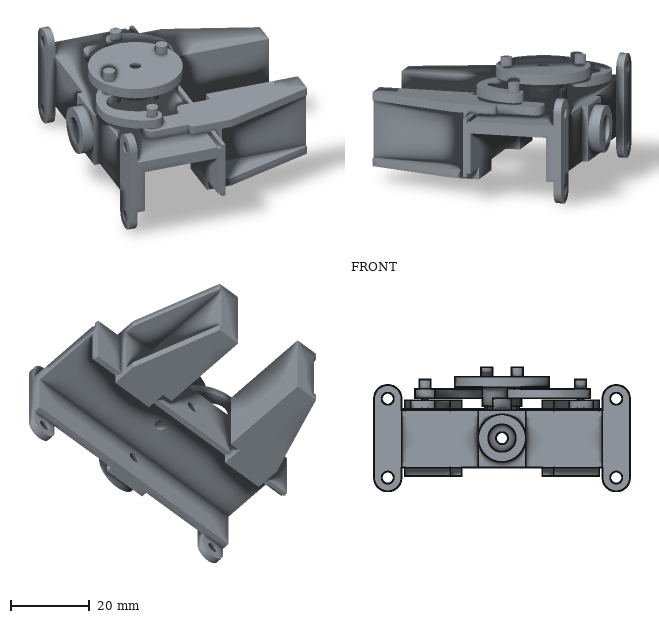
import cadquery as cq
import math


mid_z = -7.0
lip_z = 0.45
plate_thickness = 2.15
jaw_top = lip_z + plate_thickness
jaw_bottom = 2 * mid_z - jaw_top
joint_gap = 0.45
link_thickness = 2.4
link_bottom = jaw_top + joint_gap
link_top = link_bottom + link_thickness
disc_thickness = 2.65
disc_bottom = link_top + joint_gap
disc_top = disc_bottom + disc_thickness

pin_radius = 1.5
pin_height = 2.4
peg_radius = 0.8
hole_radius = 1.5

frame_length = 65
frame_half_depth = 11.95
wall_thickness = 2.0
top_thickness = 3.1
frame_bottom = 2 * mid_z - lip_z
groove_width = 1.0
groove_depth = 0.9
rail_inner_y = frame_half_depth - wall_thickness
ear_radius = 3.5
ear_hole_spacing = 20.0
ear_x = frame_length / 2 - ear_radius
ear_thickness = 2.0
pad_width = 12.1
pad_thickness = 1.55
ring_radius = 6.05
ring_length = 3.0
bore_radius = 3.5
stop_inner_radius = 5.15
stop_outer_radius = 6.05
front_stop_half_angle = 22.5
rear_stop_half_angle = 46.5

disc_radius = 12.0
boss_radius = 5.0
boss_bottom = 1.1
crank_radius = 9.5
crank_angle = 114.1
opposite_crank_angle = crank_angle + 180

link_span = 16.95
link_end_radius = 2.55
link_crest = 8.6
link_side_radius = 14.3
link_crest_radius = 5.2
link_crest_start = (-0.85, 4.9)
link_crest_top = (1.4, 5.6)
link_crest_end = (5.6, 1.7)
link_inner_bulge = (-3.65, 2.8)
left_link_angle = 202.4
right_link_angle = 19.1

jaw_outer_x = -24.7
jaw_neck_x = -13.1
jaw_grip_x = -10.2
jaw_tip_x = -16.6
jaw_tip_y = 40.3
taper_start_y = 16.65
grip_start_y = 15.3
tail_outer_x = -23.2
tail_inner_x = -17.1
shoulder_y = 5.6
tail_end_y = -5.8
outer_shoulder_radius = 1.0
inner_shoulder_radius = 2.0
tail_root_radius = 1.05
tail_end_radius = 2.0
web_outer_x = -15.9


def cylinder(x, y, bottom, top, radius):
    return cq.Workplane("XY", origin=(x, y, bottom)).circle(radius).extrude(top - bottom)


def polar(radius, degrees):
    angle = math.radians(degrees)
    return radius * math.cos(angle), radius * math.sin(angle)


def headed_pin(x, y, face, peg_bottom, body_bottom):
    """Pin standing on a face, and a peg hanging from body_bottom down to peg_bottom."""
    head = cylinder(x, y, face, face + pin_height, pin_radius)
    peg = cylinder(x, y, peg_bottom, body_bottom, peg_radius)
    return head, peg


def y_cylinder(x, z, front_y, length, radius):
    """Cylinder along +Y starting at front_y."""
    return cq.Workplane("XZ", origin=(x, front_y, z)).circle(radius).extrude(-length)


def make_stop(middle_angle, half_angle):
    """Curved stop standing on the frame top, concentric with the disc."""
    start = middle_angle - half_angle
    end = middle_angle + half_angle
    return (
        cq.Workplane("XY")
        .moveTo(*polar(stop_inner_radius, start))
        .lineTo(*polar(stop_outer_radius, start))
        .threePointArc(polar(stop_outer_radius, middle_angle), polar(stop_outer_radius, end))
        .lineTo(*polar(stop_inner_radius, end))
        .threePointArc(polar(stop_inner_radius, middle_angle), polar(stop_inner_radius, start))
        .close()
        .extrude(link_bottom)
    )


def make_ear(x):
    """Round-ended mounting ear on the front wall, with a hole at each end."""
    return (
        cq.Workplane("XZ", origin=(x, -frame_half_depth, mid_z))
        .slot2D(ear_hole_spacing + 2 * ear_radius, 2 * ear_radius, 90)
        .pushPoints([(0, -ear_hole_spacing / 2), (0, ear_hole_spacing / 2)])
        .circle(hole_radius)
        .extrude(ear_thickness)
    )


def make_frame():
    groove_outer_y = rail_inner_y + groove_width
    profile = [
        (-frame_half_depth, 0),
        (rail_inner_y, 0),
        (rail_inner_y, lip_z - groove_depth),
        (groove_outer_y, lip_z - groove_depth),
        (groove_outer_y, lip_z),
        (frame_half_depth, lip_z),
        (frame_half_depth, frame_bottom),
        (groove_outer_y, frame_bottom),
        (groove_outer_y, frame_bottom + groove_depth),
        (rail_inner_y, frame_bottom + groove_depth),
        (rail_inner_y, -top_thickness),
        (wall_thickness - frame_half_depth, -top_thickness),
        (wall_thickness - frame_half_depth, frame_bottom),
        (-frame_half_depth, frame_bottom),
    ]
    frame = cq.Workplane("YZ").polyline(profile).close().extrude(frame_length / 2, both=True)

    for side in (-1, 1):
        frame = frame.union(make_ear(side * ear_x))

    pad_front = -frame_half_depth - pad_thickness
    ring_front = pad_front - ring_length
    pad = cq.Workplane("XY").box(pad_width, pad_thickness, -frame_bottom, centered=(True, False, False))
    frame = frame.union(pad.translate((0, pad_front, frame_bottom)))
    frame = frame.union(y_cylinder(0, mid_z, ring_front, ring_length, ring_radius))
    frame = frame.cut(y_cylinder(0, mid_z, ring_front, ring_length, bore_radius))
    frame = frame.cut(y_cylinder(0, mid_z, ring_front, frame_half_depth - ring_front, hole_radius))

    frame = frame.union(make_stop(-90, front_stop_half_angle))
    frame = frame.union(make_stop(90, rear_stop_half_angle))
    return frame.cut(cylinder(0, 0, -top_thickness, 0, hole_radius))


def make_disc():
    disc = cylinder(0, 0, disc_bottom, disc_top, disc_radius)
    disc = disc.union(cylinder(0, 0, boss_bottom, disc_bottom, boss_radius))
    disc = disc.cut(cylinder(0, 0, boss_bottom, disc_top, hole_radius))
    for angle in (crank_angle, opposite_crank_angle):
        x, y = polar(crank_radius, angle)
        for piece in headed_pin(x, y, disc_top, link_bottom, disc_bottom):
            disc = disc.union(piece)
    return disc


def point_towards(start, target, distance):
    """Point at a distance from start, on the line through target."""
    angle_degrees = math.degrees(math.atan2(target[1] - start[1], target[0] - start[0]))
    step_x, step_y = polar(distance, angle_degrees)
    return start[0] + step_x, start[1] + step_y


def link_side_center():
    """Centre of the left side arc, tangent to the left round end and to the crest arc."""
    half_span = link_span / 2
    crest_center_y = link_crest - link_crest_radius
    to_end = link_side_radius - link_end_radius
    to_crest = link_side_radius - link_crest_radius
    gap = math.hypot(half_span, crest_center_y)
    along = (to_end**2 - to_crest**2 + gap**2) / (2 * gap)
    across = math.sqrt(to_end**2 - along**2)
    unit_x = half_span / gap
    unit_y = crest_center_y / gap
    return -half_span + along * unit_x + across * unit_y, along * unit_y - across * unit_x


def make_link():
    """Curved link with its disc joint at the origin and its jaw joint at +X, bowed towards -Y."""
    half_span = link_span / 2
    side_center = link_side_center()
    crest_center = (0, link_crest - link_crest_radius)
    end_x, end_y = point_towards(side_center, (-half_span, 0), link_side_radius)
    top_x, top_y = point_towards(side_center, crest_center, link_side_radius)
    chord_middle = ((end_x + top_x) / 2, (end_y + top_y) / 2)
    side_x, side_y = point_towards(side_center, chord_middle, link_side_radius)
    inner_touch = half_span - link_end_radius

    outline = (
        cq.Workplane("XY")
        .moveTo(end_x, end_y)
        .threePointArc((side_x, side_y), (top_x, top_y))
        .threePointArc((0, link_crest), (-top_x, top_y))
        .threePointArc((-side_x, side_y), (-end_x, end_y))
        .threePointArc((half_span, -link_end_radius), (inner_touch, 0))
        .lineTo(*link_crest_end)
        .threePointArc(link_crest_top, link_crest_start)
        .threePointArc(link_inner_bulge, (-inner_touch, 0))
        .threePointArc((-half_span, -link_end_radius), (end_x, end_y))
        .close()
    )
    body = outline.extrude(link_thickness).translate((-half_span, 0, link_bottom))
    body = body.rotate((0, 0, 0), (0, 0, 1), 180)
    body = body.cut(cylinder(0, 0, link_bottom, link_top, peg_radius))
    for piece in headed_pin(link_span, 0, link_top, lip_z, link_bottom):
        body = body.union(piece)
    return body


def place_link(joint_angle, link_angle):
    """Link hung on the disc pin at joint_angle, pointing along link_angle."""
    x, y = polar(crank_radius, joint_angle)
    return make_link().rotate((0, 0, 0), (0, 0, 1), link_angle).translate((x, y, 0))


def jaw_joint(joint_angle, link_angle):
    """Place of the jaw joint of a link."""
    x, y = polar(crank_radius, joint_angle)
    step_x, step_y = polar(link_span, link_angle)
    return x + step_x, y + step_y


def block(x_range, y_range, z_range):
    """Box between the given limits."""
    sizes = [high - low for low, high in (x_range, y_range, z_range)]
    corner = (x_range[0], y_range[0], z_range[0])
    return cq.Workplane("XY").box(*sizes, centered=False).translate(corner)


def round_corner(body, x, y, radius):
    """Round the vertical edge at (x, y)."""
    reach = 0.05
    selector = cq.selectors.BoxSelector(
        (x - reach, y - reach, jaw_bottom), (x + reach, y + reach, jaw_top + reach)
    )
    return body.edges("|Z").edges(selector).fillet(radius)


def make_jaw(peg_x, peg_y):
    """Left jaw: two plates joined by a web, hooked over the frame's rear rail."""
    finger = [
        (jaw_outer_x, rail_inner_y),
        (jaw_outer_x, taper_start_y),
        (jaw_tip_x, jaw_tip_y),
        (jaw_grip_x, jaw_tip_y),
        (jaw_grip_x, grip_start_y),
        (jaw_neck_x, grip_start_y),
        (jaw_neck_x, rail_inner_y),
    ]
    tail = [
        (jaw_outer_x, rail_inner_y),
        (jaw_neck_x, rail_inner_y),
        (jaw_neck_x, shoulder_y),
        (tail_inner_x, shoulder_y),
        (tail_inner_x, tail_end_y),
        (tail_outer_x, tail_end_y),
        (tail_outer_x, shoulder_y),
        (jaw_outer_x, shoulder_y),
    ]
    plate = cq.Workplane("XY", origin=(0, 0, lip_z))
    slider = plate.polyline(tail).close().extrude(plate_thickness)
    corners = [
        (jaw_outer_x, shoulder_y, outer_shoulder_radius),
        (jaw_neck_x, shoulder_y, inner_shoulder_radius),
        (tail_inner_x, shoulder_y, tail_root_radius),
        (tail_inner_x, tail_end_y, tail_end_radius),
        (tail_outer_x, tail_end_y, tail_end_radius),
    ]
    for x, y, radius in corners:
        slider = round_corner(slider, x, y, radius)

    jaw = cq.Workplane("XY", origin=(0, 0, jaw_bottom)).polyline(finger).close()
    jaw = jaw.extrude(jaw_top - jaw_bottom)

    width = (jaw_outer_x, jaw_neck_x)
    hook_y = rail_inner_y + groove_width
    jaw = jaw.cut(block(width, (hook_y, frame_half_depth), (frame_bottom, lip_z)))
    hook_room = (frame_bottom + groove_depth, lip_z - groove_depth)
    jaw = jaw.cut(block(width, (rail_inner_y, hook_y), hook_room))

    pocket_y = (frame_half_depth + wall_thickness, jaw_tip_y)
    jaw = jaw.cut(block((jaw_outer_x, web_outer_x), pocket_y, (frame_bottom, lip_z)))

    jaw = jaw.union(slider)
    return jaw.cut(cylinder(peg_x, peg_y, lip_z, jaw_top, peg_radius))


frame = make_frame()
disc = make_disc()
links = [
    place_link(crank_angle, left_link_angle),
    place_link(opposite_crank_angle, right_link_angle),
]
left_x, left_y = jaw_joint(crank_angle, left_link_angle)
right_x, right_y = jaw_joint(opposite_crank_angle, right_link_angle)
left_jaw = make_jaw(left_x, left_y)
right_jaw = make_jaw(-right_x, right_y).mirror("YZ")
jaws = [left_jaw, right_jaw]

bodies = [frame, disc, *links, *jaws]
result = cq.Compound.makeCompound([body.solids().val() for body in bodies])